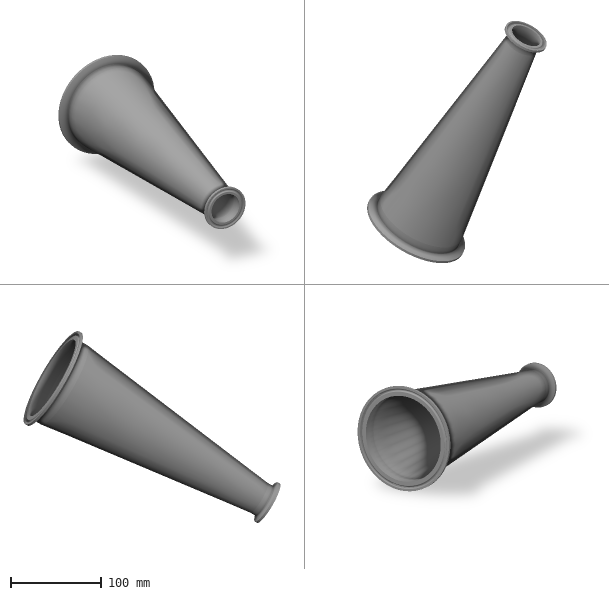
import cadquery as cq
import math

length = 282.5
large_tube_dia = 101.7
large_bore_dia = 97.5
small_tube_dia = 38.1
small_bore_dia = 34.8
large_end_length = 15.5
small_end_length = 12.5

large_flange_dia = 119.0
small_flange_dia = 50.3
rim_thickness = 2.8
large_flange_depth = 6.2
small_flange_depth = 5.5
root_fillet = 0.8

large_groove_dia = 110.2
small_groove_dia = 43.5
groove_width = 2.8
groove_depth = 1.5
groove_edge_fillet = 0.5


def revolve_about_x(profile):
    return profile.close().revolve(360, (0, 0, 0), (1, 0, 0))


def reducer_shell():
    """Tapered tube with straight ends and a clamp flange at each end."""
    cone_start = large_end_length
    cone_end = length - small_end_length
    outside = revolve_about_x(
        cq.Workplane("XY")
        .lineTo(0, large_flange_dia / 2)
        .lineTo(rim_thickness, large_flange_dia / 2)
        .lineTo(large_flange_depth, large_tube_dia / 2)
        .lineTo(cone_start, large_tube_dia / 2)
        .lineTo(cone_end, small_tube_dia / 2)
        .lineTo(length - small_flange_depth, small_tube_dia / 2)
        .lineTo(length - rim_thickness, small_flange_dia / 2)
        .lineTo(length, small_flange_dia / 2)
        .lineTo(length, 0)
    )
    bore = revolve_about_x(
        cq.Workplane("XY")
        .lineTo(0, large_bore_dia / 2)
        .lineTo(cone_start, large_bore_dia / 2)
        .lineTo(cone_end, small_bore_dia / 2)
        .lineTo(length, small_bore_dia / 2)
        .lineTo(length, 0)
    )
    return outside.cut(bore)


def circle_edges(body, x, diameter):
    """Circular edges of the given diameter in the plane at x."""
    return body.edges("%CIRCLE").filter(
        lambda edge: math.isclose(edge.Center().x, x, abs_tol=0.003)
        and math.isclose(edge.radius(), diameter / 2, abs_tol=0.003)
    )


def gasket_groove(face_x, inward, groove_dia):
    """Ring with an arc section; inward is the X direction into the part."""
    inner_radius = (groove_dia - groove_width) / 2
    outer_radius = (groove_dia + groove_width) / 2
    return revolve_about_x(
        cq.Workplane("XY")
        .moveTo(face_x, inner_radius)
        .threePointArc((face_x + inward * groove_depth, groove_dia / 2), (face_x, outer_radius))
    )


result = reducer_shell()
for root_x, tube_dia in (
    (large_flange_depth, large_tube_dia),
    (length - small_flange_depth, small_tube_dia),
):
    result = circle_edges(result, root_x, tube_dia).fillet(root_fillet)

for face_x, inward, groove_dia in ((0, 1, large_groove_dia), (length, -1, small_groove_dia)):
    result = result.cut(gasket_groove(face_x, inward, groove_dia))
    for edge_dia in (groove_dia - groove_width, groove_dia + groove_width):
        result = circle_edges(result, face_x, edge_dia).fillet(groove_edge_fillet)